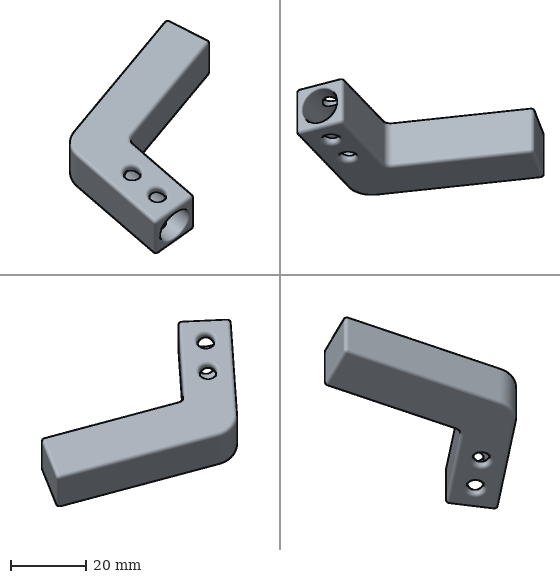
import cadquery as cq
import math

bar_size = 14.0
overall_length = 60
short_arm_length = 36.75
tilt_degrees = 15
bend_outer_radius = bar_size / 2
bend_inner_radius = 4.0 / 2
edge_radius = 1.0

hole_diameter = 4.5
hole_spacing = 10.0
end_hole_inset = 6.95

socket_diameter = 10.25
socket_mouth_radius = 0.5
socket_depth = 24.0

tilt = math.radians(tilt_degrees)
short_arm_drop = (short_arm_length - edge_radius) * math.sin(tilt) + edge_radius * (1 - math.cos(tilt))
long_arm_length = overall_length - short_arm_drop
selection_tolerance = 0.05


def short_arm_point(along, across):
    """XY point measured along the short arm and across it from its outer side."""
    return (
        along * math.cos(tilt) + across * math.sin(tilt),
        -along * math.sin(tilt) + across * math.cos(tilt),
    )


def edges_near(x, y, z, half_size):
    """Select edges whose centres lie in a cube around a point."""
    return cq.selectors.BoxSelector(
        (x - half_size, y - half_size, z - half_size),
        (x + half_size, y + half_size, z + half_size),
    )


def bent_bar():
    """Bar with rounded bend, rounded free corners and rounded top and bottom rims."""
    inner_corner = (bar_size, bar_size * (1 - math.sin(tilt)) / math.cos(tilt))
    free_corners = [
        short_arm_point(short_arm_length, 0),
        short_arm_point(short_arm_length, bar_size),
        (bar_size, long_arm_length),
        (0, long_arm_length),
    ]
    outline = [(0, 0), *free_corners[:2], inner_corner, *free_corners[2:]]
    bar = cq.Workplane("XY").polyline(outline).close().extrude(bar_size)

    corner_radii = [((0, 0), bend_outer_radius), (inner_corner, bend_inner_radius)]
    corner_radii += [(corner, edge_radius) for corner in free_corners]
    for (x, y), radius in corner_radii:
        bar = bar.edges(edges_near(x, y, bar_size / 2, selection_tolerance)).fillet(radius)
    return bar.faces("<Z or >Z").edges().fillet(edge_radius)


def add_cross_holes(body):
    """Two holes through the height, with rounded rims at the top and bottom."""
    last_hole = short_arm_length - end_hole_inset
    for along in (last_hole - hole_spacing, last_hole):
        x, y = short_arm_point(along, bar_size / 2)
        hole = cq.Workplane("XY").center(x, y).circle(hole_diameter / 2).extrude(bar_size)
        body = body.cut(hole)
        for z in (0, bar_size):
            body = body.edges(edges_near(x, y, z, selection_tolerance)).fillet(edge_radius)
    return body


def add_end_socket(body):
    """Blind round socket along the short arm, with a rounded mouth."""
    x, y = short_arm_point(short_arm_length, bar_size / 2)
    mouth = cq.Vector(x, y, bar_size / 2)
    inward = cq.Vector(-math.cos(tilt), math.sin(tilt), 0)
    socket = cq.Solid.makeCylinder(socket_diameter / 2, socket_depth, mouth, inward)
    body = body.cut(cq.Workplane(socket))
    rim = edges_near(x, y, bar_size / 2, selection_tolerance)
    return body.edges(rim).fillet(socket_mouth_radius)


result = add_end_socket(add_cross_holes(bent_bar()))